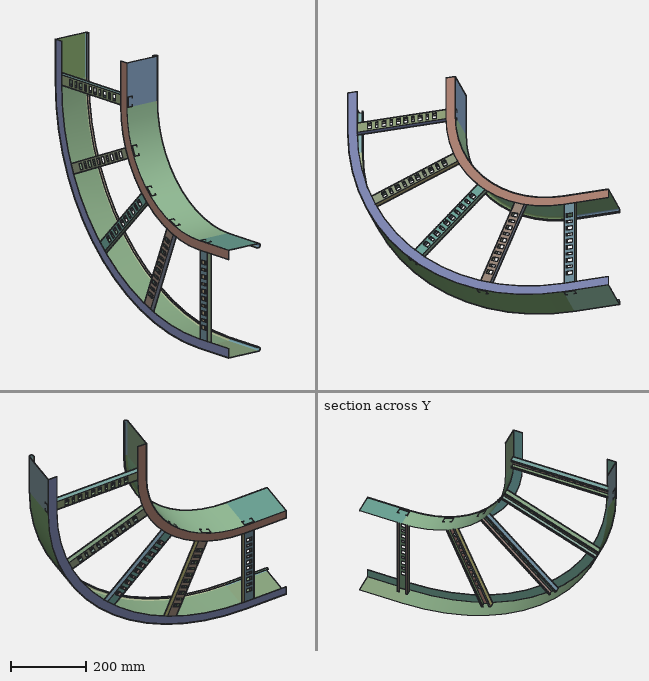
import cadquery as cq

straight_length = 125.0
outer_wall_radius = 725 - straight_length
ladder_width = 300.0
inner_wall_radius = outer_wall_radius - ladder_width
bend_angle = 90

rail_depth = 110.0
rail_sheet = 1.5
flange_width = 27.0
hook_radius = 6.5
hook_depth = 11.0

rung_count = 5
rung_sheet = 1.0
rung_width = 30.0
rung_depth = 15.0
rung_front = 5.0
rung_lip = 6.0
outer_seat_radius = outer_wall_radius - rail_sheet
inner_seat_radius = inner_wall_radius + rail_sheet

slot_height = 17.5
wide_slot = 11.0
narrow_slot = 6.5
half_slot_row = [wide_slot, narrow_slot, wide_slot, narrow_slot, wide_slot]
slot_row = half_slot_row + half_slot_row[::-1]
slot_row_length = 180.5
slot_pitch = slot_row_length / (len(slot_row) - 1)


def rail_section(wall_radius, flange_side):
    """Rail section at the start of the bend; flange_side is +1 away from the bend centre, -1 towards it."""

    def at(inset, y):
        return (-(wall_radius + flange_side * inset), y)

    hook_start = rail_depth - hook_radius
    hook_end = rail_depth - hook_depth
    hook_width = 2 * hook_radius
    return (
        cq.Workplane("XY")
        .moveTo(*at(flange_width, 0))
        .lineTo(*at(0, 0))
        .lineTo(*at(0, hook_start))
        .threePointArc(at(hook_radius, rail_depth), at(hook_width, hook_start))
        .lineTo(*at(hook_width, hook_end))
        .lineTo(*at(hook_width - rail_sheet, hook_end))
        .lineTo(*at(hook_width - rail_sheet, hook_start))
        .threePointArc(at(hook_radius, rail_depth - rail_sheet), at(rail_sheet, hook_start))
        .lineTo(*at(rail_sheet, rail_sheet))
        .lineTo(*at(flange_width, rail_sheet))
        .close()
    )


def turn(body, angle):
    """Turn a body along the bend, from its upper end towards its right-hand end."""
    return body.rotate((0, 0, 0), (0, -1, 0), angle)


def make_rail(wall_radius, flange_side):
    """Side rail: a straight run, the curve and a second straight run."""
    upper_run = rail_section(wall_radius, flange_side).extrude(straight_length)
    curve = rail_section(wall_radius, flange_side).revolve(bend_angle, (0, 0, 0), (0, -1, 0))
    lower_run = turn(rail_section(wall_radius, flange_side).extrude(-straight_length), bend_angle)
    return upper_run.union(curve).union(lower_run)


def rung_blank(start_radius, end_radius):
    """Lipped channel along -X, open towards the back, centred on z = 0."""
    length = end_radius - start_radius
    middle = -(start_radius + end_radius) / 2

    def block(depth, width, front):
        box = cq.Workplane("XY").box(length, depth, width, centered=(True, False, True))
        return box.translate((middle, front, 0))

    channel = block(rung_depth, rung_width, rung_front)
    cavity = block(rung_depth - 2 * rung_sheet, rung_width - 2 * rung_sheet, rung_front + rung_sheet)
    mouth = block(rung_depth, rung_width - 2 * rung_lip, rung_front + rung_sheet)
    return channel.cut(cavity).cut(mouth)


def cut_slots(rung):
    """Cut the row of slots through the front web, centred between the rails."""
    row_middle = -(outer_wall_radius + inner_wall_radius) / 2
    first_slot = row_middle - slot_row_length / 2
    for index, slot_width in enumerate(slot_row):
        slot = cq.Workplane("XY").box(slot_width, rung_depth, slot_height)
        rung = rung.cut(slot.translate((first_slot + index * slot_pitch, rung_front, 0)))
    return rung


def make_end_rung():
    """Rung across a straight run, with flat ends."""
    return cut_slots(rung_blank(inner_seat_radius, outer_seat_radius))


def make_curve_rung():
    """Rung across the curve, its ends rounded to the rail walls."""
    rung = cut_slots(rung_blank(inner_wall_radius, outer_wall_radius))
    seat = cq.Workplane("XZ").circle(outer_seat_radius).circle(inner_seat_radius).extrude(-rail_depth)
    return rung.intersect(seat)


outer_rail = make_rail(outer_wall_radius, -1)
inner_rail = make_rail(inner_wall_radius, 1)

rungs = []
for index in range(rung_count):
    angle = bend_angle * index / (rung_count - 1)
    if index == 0:
        rung = make_end_rung().translate((0, 0, rung_width / 2))
    elif index == rung_count - 1:
        rung = turn(make_end_rung().translate((0, 0, -rung_width / 2)), angle)
    else:
        rung = turn(make_curve_rung(), angle)
    rungs.append(rung)

result = cq.Compound.makeCompound([outer_rail.val(), inner_rail.val(), *[rung.val() for rung in rungs]])